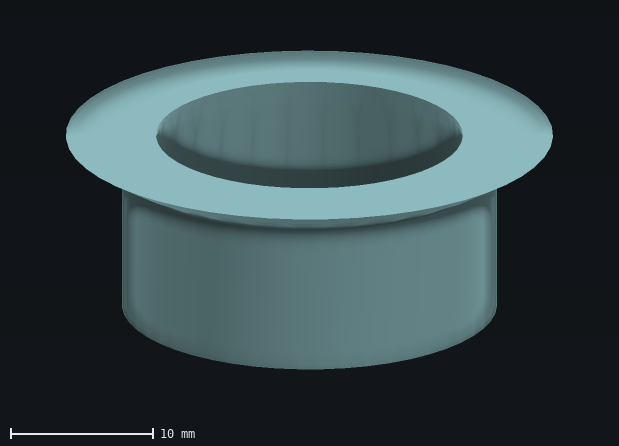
import cadquery as cq
import math

flange_diameter = 34.29
sleeve_diameter = 26.416
bore_top_diameter = 21.59
bore_bottom_diameter = 23.876
total_height = 12.7
flange_angle = 30.0

flange_radius = flange_diameter / 2
sleeve_radius = sleeve_diameter / 2
flange_height = (flange_radius - sleeve_radius) * math.tan(math.radians(flange_angle))
sleeve_height = total_height - flange_height


def make_flanged_sleeve():
    """Straight sleeve flaring into a sharp-edged flange, with a bore that widens downward."""
    wall_section = [
        (bore_bottom_diameter / 2, 0),
        (sleeve_radius, 0),
        (sleeve_radius, sleeve_height),
        (flange_radius, total_height),
        (bore_top_diameter / 2, total_height),
    ]
    return cq.Workplane("XZ").polyline(wall_section).close().revolve(360, (0, 0), (0, 1))


result = make_flanged_sleeve()